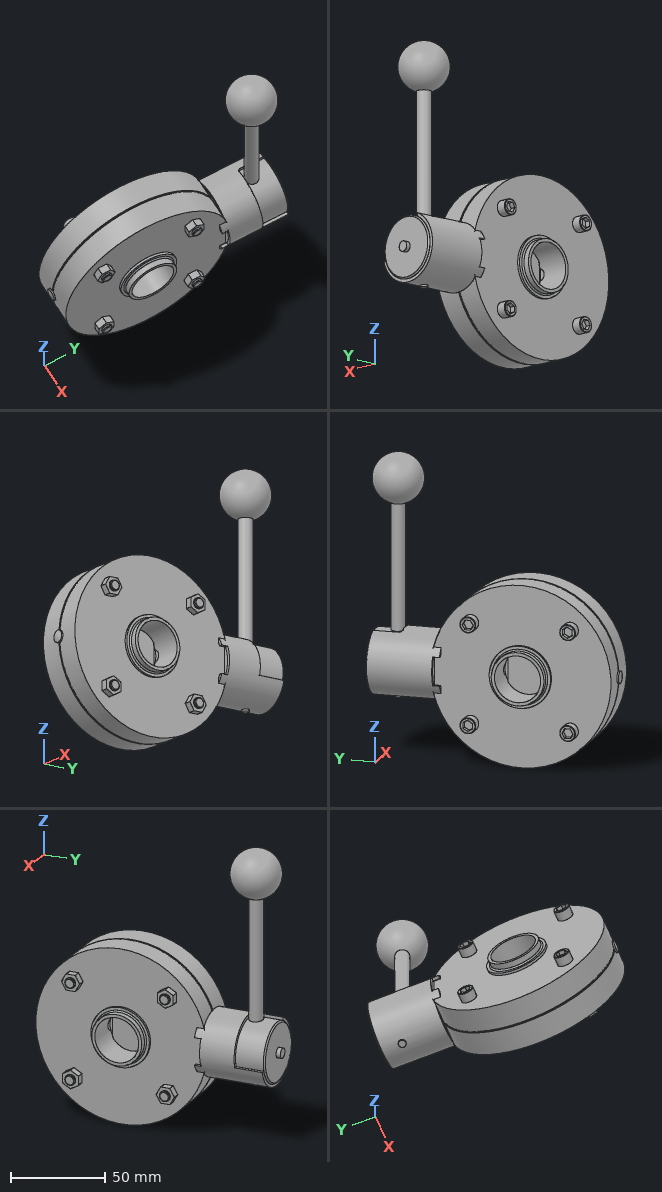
import cadquery as cq


flange_radius = 50.0
flange_width = 28.5
flange_face = flange_width / 2
seam_width = 0.7
seam_depth = 0.7
collar_radius = 17.0
collar_width = 1.5
cone_radius = 15.4
cone_width = 0.8
stub_radius = 14.6
stub_end = 20.0
bore_radius = 12.8

bolt_spacing = 55.3
bolt_offset = bolt_spacing / 2
head_diameter = 8.7
head_radius = head_diameter / 2
head_chamfer = 0.3
socket_size = 6.0
socket_depth = 3.0
nut_size = 10.7
nut_turn = 30
nut_height = 4.3
thread_radius = 3.0
thread_chamfer = 0.5

plate_width = 1.6
pad_width = 3.3
pad_length = 22.0
journal_radius = 3.5
journal_end = 50.8
dome_tip = 51.7
stem_diameter = 5.7
stem_radius = stem_diameter / 2
stem_end = 87.5

sleeve_radius = 19.0
sleeve_start = 47.9
sleeve_end = 84.1
tooth_length = 3.8
tooth_gap = 15.7
window_start = 68.0
window_left = 7.7
window_bottom = 5.0
window_corner = 1.6
stop_radius = 2.1
stop_height = 1.0

hub_radius = 17.2
hub_end = 85.1
hub_chamfer = 0.8
rod_diameter = 8.0
rod_radius = rod_diameter / 2
rod_y = 72.2
ball_diameter = 28.0
ball_radius = ball_diameter / 2
ball_top = 114.0
ball_z = ball_top - ball_radius


def cylinder_x(radius, start, end):
    """Cylinder around the pipe axis between two X positions."""
    return cq.Workplane("YZ").workplane(offset=start).circle(radius).extrude(end - start)


def cylinder_y(radius, start, end):
    """Cylinder around the stem axis between two Y positions."""
    return cq.Workplane("XZ").workplane(offset=-start).circle(radius).extrude(start - end)


def flange_blank():
    """Full round flange that the sleeve and the hub fit against."""
    return cylinder_x(flange_radius, -flange_face, flange_face)


def stem_passage():
    """Stepped round shape of the stem, also the passage it runs in."""
    journal = cylinder_y(journal_radius, -journal_end, sleeve_start)
    return journal.union(cylinder_y(stem_radius, sleeve_start, stem_end))


def bolt_ends():
    """Socket head on the -X side, nut and thread end on the +X side of one bolt."""
    head = cylinder_x(head_radius, -stub_end, -flange_face).faces("<X").chamfer(head_chamfer)
    socket = (
        cq.Workplane("YZ")
        .workplane(offset=-stub_end)
        .polygon(6, socket_size)
        .extrude(socket_depth)
    )
    nut = cq.Workplane("YZ").workplane(offset=flange_face).polygon(6, nut_size).extrude(nut_height)
    nut = nut.rotate((0, 0, 0), (1, 0, 0), nut_turn)
    thread = cylinder_x(thread_radius, flange_face, stub_end).faces(">X").chamfer(thread_chamfer)
    return head.cut(socket), nut.union(thread)


def make_housing():
    collar_end = flange_face + collar_width
    half = (
        cq.Workplane("XY")
        .moveTo(0, 0)
        .lineTo(0, flange_radius - seam_depth)
        .lineTo(seam_width / 2, flange_radius - seam_depth)
        .lineTo(seam_width / 2, flange_radius)
        .lineTo(flange_face, flange_radius)
        .lineTo(flange_face, collar_radius)
        .lineTo(collar_end, collar_radius)
        .lineTo(collar_end, cone_radius)
        .lineTo(collar_end + cone_width, stub_radius)
        .lineTo(stub_end, stub_radius)
        .lineTo(stub_end, 0)
        .close()
        .revolve(360, (0, 0, 0), (1, 0, 0))
    )
    body = half.union(half.mirror("YZ"))
    body = body.cut(cylinder_x(bore_radius, -stub_end, stub_end))

    for quarter in range(4):
        for bolt_end in bolt_ends():
            placed = bolt_end.translate((0, bolt_offset, bolt_offset))
            body = body.union(placed.rotate((0, 0, 0), (1, 0, 0), 90 * quarter))
    return body.cut(stem_passage())


def make_disc():
    plate = cylinder_x(bore_radius, -plate_width / 2, plate_width / 2)
    pad = cylinder_x(bore_radius, -pad_width / 2, pad_width / 2)
    pad = pad.intersect(cq.Workplane("XY").box(pad_width, pad_length, 2 * bore_radius))

    cap_height = dome_tip - journal_end
    sphere_radius = (journal_radius**2 + cap_height**2) / (2 * cap_height)
    dome = cq.Workplane("XY").sphere(sphere_radius).translate((0, sphere_radius - dome_tip, 0))
    dome = dome.intersect(cylinder_y(journal_radius, -dome_tip, -journal_end))

    stem = stem_passage().cut(cylinder_x(bore_radius, -stub_end, stub_end))
    return plate.union(pad).union(stem).union(dome)


def make_sleeve():
    tube = cylinder_y(sleeve_radius, sleeve_start, sleeve_end)

    teeth = cylinder_y(sleeve_radius, sleeve_start - tooth_length, sleeve_start)
    gap = cq.Workplane("XY").box(2 * sleeve_radius, 2 * sleeve_start, tooth_gap)
    tube = tube.union(teeth.cut(gap))
    tooth_slot = cq.Workplane("XY").box(flange_width, 2 * sleeve_start, 2 * sleeve_radius)
    tube = tube.cut(tooth_slot).cut(flange_blank())

    stop = (
        cq.Workplane("XY")
        .workplane(offset=-sleeve_radius - stop_height)
        .center(0, rod_y)
        .circle(stop_radius)
        .extrude(sleeve_radius)
    )
    tube = tube.union(stop).cut(cylinder_y(hub_radius, 0, sleeve_end))

    window = cq.Workplane("XY").box(
        window_left + sleeve_radius,
        sleeve_end - window_start,
        window_bottom + sleeve_radius,
        centered=False,
    )
    window = window.edges("|Z").edges("<X").edges("<Y").fillet(window_corner)
    return tube.cut(window.translate((-window_left, window_start, -window_bottom)))


def make_handle():
    hub = cylinder_y(hub_radius, sleeve_start, hub_end).faces(">Y").chamfer(hub_chamfer)
    rod = cq.Workplane("XY").center(0, rod_y).circle(rod_radius).extrude(ball_z)
    ball = cq.Workplane("XY").sphere(ball_radius).translate((0, rod_y, ball_z))
    return hub.union(rod).union(ball).cut(flange_blank()).cut(stem_passage())


housing = make_housing()
disc = make_disc()
sleeve = make_sleeve()
handle = make_handle()

result = cq.Compound.makeCompound([housing.val(), disc.val(), sleeve.val(), handle.val()])